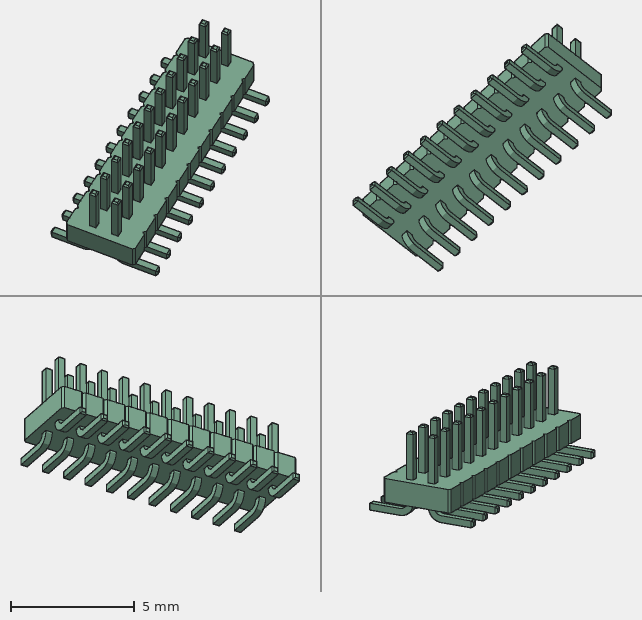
import cadquery as cq

body_length = 11.0
pin_count = 11
pitch = body_length / pin_count
row_spacing = pitch

body_width = 3.1
body_height = 1.0
corner_chamfer = 0.1

pin_size = 0.3
pin_height = 3.6
foot_span = 4.8
standoff = 0.59
bend_inner_radius = standoff - pin_size
tip_length = 0.07
tip_inset = tip_length


def make_body():
    """One chamfered block per pin pair, merged so the chamfers leave V notches between them."""
    block = (
        cq.Workplane("XY")
        .box(body_width, pitch, body_height, centered=(True, True, False))
        .edges("|Z")
        .chamfer(corner_chamfer)
    )
    body = cq.Workplane("XY")
    for y in pin_positions():
        body = body.union(block.translate((0, y, standoff)))
    return body


def pin_positions():
    """Y position of every pin pair, symmetric about the origin."""
    return [(i - (pin_count - 1) / 2) * pitch for i in range(pin_count)]


def make_tip(plane):
    """Tapered square pin end growing along the normal of the plane."""
    tip_size = pin_size - 2 * tip_inset
    return (
        cq.Workplane(plane)
        .rect(pin_size, pin_size)
        .workplane(offset=tip_length)
        .rect(tip_size, tip_size)
        .loft()
    )


def make_pin():
    """Pin of the +X row at Y = 0: upright post, quarter-circle bend and foot towards +X."""
    post_x = row_spacing / 2
    bend_radius = bend_inner_radius + pin_size / 2
    foot_z = pin_size / 2
    post_end_z = pin_height - tip_length
    foot_end_x = foot_span / 2 - tip_length

    path = (
        cq.Workplane("XZ")
        .moveTo(post_x, post_end_z)
        .lineTo(post_x, foot_z + bend_radius)
        .radiusArc((post_x + bend_radius, foot_z), -bend_radius)
        .lineTo(foot_end_x, foot_z)
    )
    bar = (
        cq.Workplane("XY", origin=(post_x, 0, post_end_z))
        .rect(pin_size, pin_size)
        .sweep(path)
    )
    post_tip = make_tip(cq.Plane.XY(origin=(post_x, 0, post_end_z)))
    foot_tip = make_tip(cq.Plane.YZ(origin=(foot_end_x, 0, foot_z)))
    return bar.union(post_tip).union(foot_tip)


right_pin = make_pin()
left_pin = right_pin.mirror("YZ")

result = make_body()
for pin_y in pin_positions():
    for pin in (right_pin, left_pin):
        result = result.union(pin.translate((0, pin_y, 0)))